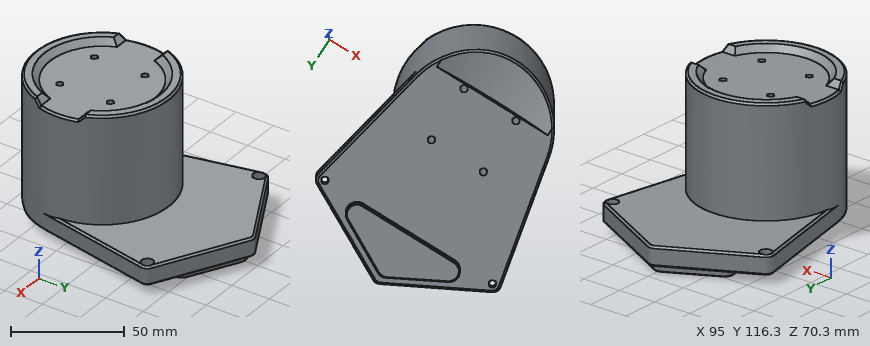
import cadquery as cq
import math


plate_thickness = 9.9
overall_length = 116.3
overall_width = 95.0
corner_radius = 4.0
ear_x = overall_width / 2 - corner_radius
ear_y = 53.8
plate_back_y = 80.8
edge_chamfer = 1.0

tower_radius = overall_length - plate_back_y
tower_top = 66.2

seat_depth = 3.0
seat_floor_radius = 27.8
channel_floor_half_width = 10.0

arch_half_width = 28.8
arch_height = 5.0
arch_depth = 20.0

hole_diameter = 3.3
tower_hole_offset = 13.5
counterbore_diameter = 6.0
counterbore_depth = 5.0

pad_thickness = 4.1
pad_corner_radius = 5.0
pad_half_width = 28.8
pad_front_y = 53.6
pad_back_y = 76.4
pad_chamfer = 0.6

margin = 0.1


def circle_point(circle, angle):
    """Point on a circle given as (x, y, radius), at an angle in radians."""
    x, y, radius = circle
    return (x + radius * math.cos(angle), y + radius * math.sin(angle))


def tangent_angle(first, second):
    """Direction of the normal of the outer tangent between two circles taken counterclockwise."""
    dx = second[0] - first[0]
    dy = second[1] - first[1]
    turn = math.acos((first[2] - second[2]) / math.hypot(dx, dy))
    return math.atan2(dy, dx) - turn


def belt_outline(circles):
    """Closed wire stretched like a belt around circles listed counterclockwise."""
    count = len(circles)
    leave_angles = [tangent_angle(circles[i], circles[(i + 1) % count]) for i in range(count)]
    outline = cq.Workplane("XY").moveTo(*circle_point(circles[-1], leave_angles[-1]))
    for i, circle in enumerate(circles):
        arrive = leave_angles[i - 1]
        sweep = (leave_angles[i] - arrive) % (2 * math.pi)
        outline = outline.lineTo(*circle_point(circle, arrive))
        outline = outline.threePointArc(
            circle_point(circle, arrive + sweep / 2),
            circle_point(circle, arrive + sweep),
        )
    return outline.close()


def make_plate():
    tower_circle = (0, 0, tower_radius)
    right_ear = (ear_x, ear_y, corner_radius)
    rear_corner = (0, plate_back_y - corner_radius, corner_radius)
    left_ear = (-ear_x, ear_y, corner_radius)
    outline = belt_outline([tower_circle, right_ear, rear_corner, left_ear])
    plate = outline.extrude(plate_thickness).faces(">Z").edges().chamfer(edge_chamfer)
    tangent_y = circle_point(tower_circle, tangent_angle(tower_circle, right_ear))[1]
    behind_tangent = cq.Workplane("XY").box(
        overall_width, overall_length, plate_thickness, centered=(True, False, False)
    )
    return plate.intersect(behind_tangent.translate((0, tangent_y, 0)))


def make_front_arch():
    """Shallow circular arch, running back from the front of the tower to a flat wall."""
    return (
        cq.Workplane("XZ", origin=(0, -tower_radius, 0))
        .moveTo(-arch_half_width, 0)
        .threePointArc((0, arch_height), (arch_half_width, 0))
        .close()
        .extrude(-arch_depth)
    )


def make_tower():
    tower = cq.Workplane("XY").circle(tower_radius).extrude(tower_top)
    tower = tower.cut(make_channel())
    top_zone = cq.selectors.BoxSelector(
        (-tower_radius, -tower_radius, tower_top - seat_depth - margin),
        (tower_radius, tower_radius, tower_top + margin),
    )
    outer_rim = tower.edges(top_zone).edges("%CIRCLE or %ELLIPSE")
    return outer_rim.chamfer(edge_chamfer).cut(make_seat())


def make_channel():
    """Trapezoidal channel along X, with 45 degree sides."""
    floor_z = tower_top - seat_depth
    top_half_width = channel_floor_half_width + seat_depth
    return (
        cq.Workplane("YZ")
        .moveTo(-channel_floor_half_width, floor_z)
        .lineTo(channel_floor_half_width, floor_z)
        .lineTo(top_half_width, tower_top)
        .lineTo(-top_half_width, tower_top)
        .close()
        .extrude(2 * tower_radius, both=True)
    )


def make_seat():
    """Round dish with a 45 degree side."""
    return cq.Workplane("XY").add(
        cq.Solid.makeCone(
            seat_floor_radius,
            seat_floor_radius + seat_depth,
            seat_depth,
            pnt=cq.Vector(0, 0, tower_top - seat_depth),
        )
    )


def make_housing():
    housing = make_plate().union(make_tower()).cut(make_front_arch())
    arch_zone = cq.selectors.BoxSelector(
        (-arch_half_width - margin, -tower_radius, -margin),
        (arch_half_width + margin, arch_depth - tower_radius + margin, arch_height + margin),
    )
    outline_edges = housing.edges("<Z").edges(-arch_zone)
    arch_mouth = housing.edges(arch_zone).edges("%BSPLINE")
    housing = outline_edges.add(arch_mouth).chamfer(edge_chamfer)
    housing = housing.cut(make_tower_holes())
    return housing.cut(make_ear_holes())


def make_tower_holes():
    spacing = 2 * tower_hole_offset
    return (
        cq.Workplane("XY")
        .rect(spacing, spacing, forConstruction=True)
        .vertices()
        .circle(hole_diameter / 2)
        .extrude(tower_top)
    )


def make_ear_holes():
    """Through holes in the ears, counterbored from above."""
    ears = cq.Workplane("XY").pushPoints([(-ear_x, ear_y), (ear_x, ear_y)])
    through_holes = ears.circle(hole_diameter / 2).extrude(plate_thickness)
    counterbores = (
        ears.circle(counterbore_diameter / 2)
        .extrude(counterbore_depth)
        .translate((0, 0, plate_thickness - counterbore_depth))
    )
    return through_holes.union(counterbores)


def make_pad():
    """Rounded triangle that rests against the underside of the plate."""
    corner_x = pad_half_width - pad_corner_radius
    front_y = pad_front_y + pad_corner_radius
    outline = belt_outline([
        (-corner_x, front_y, pad_corner_radius),
        (corner_x, front_y, pad_corner_radius),
        (0, pad_back_y - pad_corner_radius, pad_corner_radius),
    ])
    pad = outline.extrude(-pad_thickness)
    return pad.faces("<Z").edges().chamfer(pad_chamfer)


housing = make_housing()
pad = make_pad()

result = cq.Compound.makeCompound([housing.val(), pad.val()])